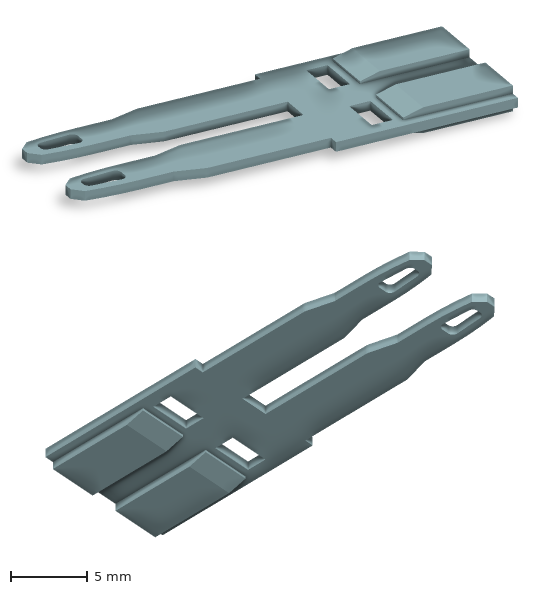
import cadquery as cq

LENGTH = 32.2
WIDTH = 11.2
PLATE_THICKNESS = 0.7

STRIP_LENGTH = 4.0
JAW_LENGTH = 8.18
JAW_HEIGHT = 1.9
JAW_BEVEL_LENGTH = 1.48
JAW_BEVEL_DROP = 0.402

ARM_PITCH = 6.0
ARM_WIDTH = 3.8
SHOULDER_Y = 18.6
TAPER_START_Y = 9.4
TAPER_BLEND_RADIUS = 1.0
NECK_START_Y = 7.2
NECK_WIDTH = 2.65
PIN_CURVE_START_Y = 4.5
TIP_BEVEL_Y = 0.7
TIP_BEVEL_WIDTH = 2.1
TIP_WIDTH = 0.7

EYE_TOP_Y = 4.12
EYE_BOTTOM_Y = 1.1
EYE_TOP_WIDTH = 1.42
EYE_BOTTOM_WIDTH = 1.03
EYE_CORNER_RADIUS = 0.42

WINDOW_WIDTH = 3.12
WINDOW_LENGTH = 1.58
WINDOW_CENTRE_X = 2.95
WINDOW_GAP = 0.58

STRIP_FRONT_Y = LENGTH - STRIP_LENGTH
JAW_FRONT_Y = LENGTH - JAW_LENGTH
SIDES = (-1, 1)


def slab(x_size, y_start, y_end, thickness):
    """Box centred on X and Z that spans y_start to y_end."""
    box = cq.Workplane("XY").box(x_size, y_end - y_start, thickness)
    return box.translate((0, (y_start + y_end) / 2, 0))


def make_arm(centre_x):
    """Flat arm that narrows to a pin with bowed sides and a bevelled tip."""
    pin_half = NECK_WIDTH / 2
    bevel_half = TIP_BEVEL_WIDTH / 2
    arm = (
        cq.Workplane("XY", origin=(0, 0, -PLATE_THICKNESS / 2))
        .moveTo(-ARM_WIDTH / 2, SHOULDER_Y)
        .lineTo(-ARM_WIDTH / 2, TAPER_START_Y)
        .lineTo(-pin_half, NECK_START_Y)
        .lineTo(-pin_half, PIN_CURVE_START_Y)
        .tangentArcPoint((-bevel_half, TIP_BEVEL_Y), relative=False)
        .lineTo(-TIP_WIDTH / 2, 0)
        .lineTo(0, 0)
        .lineTo(0, SHOULDER_Y)
        .close()
        .extrude(PLATE_THICKNESS)
    )
    taper_corner = cq.selectors.NearestToPointSelector((-ARM_WIDTH / 2, TAPER_START_Y, 0))
    arm = arm.edges("|Z").edges(taper_corner).fillet(TAPER_BLEND_RADIUS)
    arm = arm.union(arm.mirror("YZ")).clean()
    return arm.cut(make_eye()).translate((centre_x, 0, 0))


def make_eye():
    """Tapered, round-cornered cutter for the eye of a pin centred on X = 0."""
    return (
        cq.Workplane("XY", origin=(0, 0, -PLATE_THICKNESS / 2))
        .polyline([
            (-EYE_TOP_WIDTH / 2, EYE_TOP_Y),
            (-EYE_BOTTOM_WIDTH / 2, EYE_BOTTOM_Y),
            (EYE_BOTTOM_WIDTH / 2, EYE_BOTTOM_Y),
            (EYE_TOP_WIDTH / 2, EYE_TOP_Y),
        ])
        .close()
        .extrude(PLATE_THICKNESS)
        .edges("|Z")
        .fillet(EYE_CORNER_RADIUS)
    )


def make_fork():
    """Plate with two windows and two pin arms."""
    fork = slab(WIDTH, SHOULDER_Y, STRIP_FRONT_Y, PLATE_THICKNESS)
    window_top = JAW_FRONT_Y - WINDOW_GAP
    window = slab(WINDOW_WIDTH, window_top - WINDOW_LENGTH, window_top, PLATE_THICKNESS)
    for side in SIDES:
        fork = fork.union(make_arm(side * ARM_PITCH / 2))
        fork = fork.cut(window.translate((side * WINDOW_CENTRE_X, 0, 0)))
    return fork


def make_jaw_block(centre_x):
    """Jaw block, bevelled at its front above and below, before the plate slot is cut."""
    half_height = JAW_HEIGHT / 2
    nose_half = half_height - JAW_BEVEL_DROP
    bevel_y = JAW_FRONT_Y + JAW_BEVEL_LENGTH
    return (
        cq.Workplane("YZ")
        .polyline([
            (LENGTH, -half_height),
            (LENGTH, half_height),
            (bevel_y, half_height),
            (JAW_FRONT_Y, nose_half),
            (JAW_FRONT_Y, -nose_half),
            (bevel_y, -half_height),
        ])
        .close()
        .extrude(ARM_WIDTH / 2, both=True)
        .translate((centre_x, 0, 0))
    )


def make_clip():
    """Rear strip and jaws, slotted to take the plate up to the strip."""
    clip = slab(WIDTH, STRIP_FRONT_Y, LENGTH, PLATE_THICKNESS)
    for side in SIDES:
        clip = clip.union(make_jaw_block(side * ARM_PITCH / 2))
    plate_slot = slab(WIDTH, JAW_FRONT_Y, STRIP_FRONT_Y, PLATE_THICKNESS)
    return clip.cut(plate_slot)


fork = make_fork()
clip = make_clip()
result = cq.Compound.makeCompound([fork.val(), clip.val()])